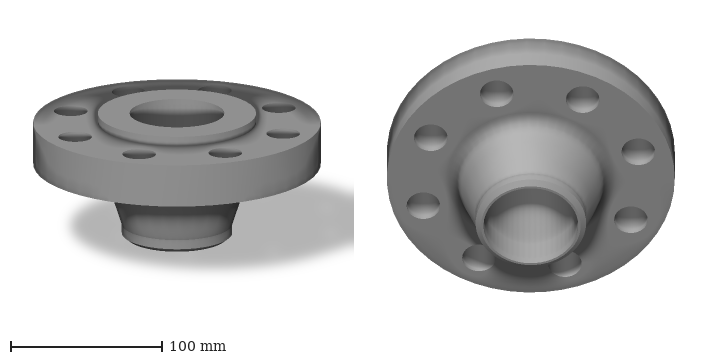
import cadquery as cq
import math

overall_height = 85.72
flange_diameter = 190.5
flange_thickness = 28.58
raised_face_diameter = 104.78
raised_face_height = 6.35
bore_diameter = 62.7

hub_root_diameter = 100.0
weld_end_diameter = 73.15
weld_end_straight_length = 6.35
root_fillet_radius = 7.2

bevel_angle = math.radians(37.5)
root_face_width = 1.6

bolt_count = 8
bolt_circle_diameter = 149.2
bolt_hole_diameter = 22.2

bore_radius = bore_diameter / 2
hub_root_radius = hub_root_diameter / 2
weld_end_radius = weld_end_diameter / 2
bevel_inner_radius = bore_radius + root_face_width
bevel_height = (weld_end_radius - bevel_inner_radius) * math.tan(bevel_angle)
taper_bottom = bevel_height + weld_end_straight_length
flange_top = overall_height - raised_face_height
flange_bottom = flange_top - flange_thickness
taper_angle = math.atan2(hub_root_radius - weld_end_radius, flange_bottom - taper_bottom)


def make_disc(diameter, bottom, thickness):
    """Solid cylinder on the Z axis."""
    return cq.Workplane("XY").workplane(offset=bottom).circle(diameter / 2).extrude(thickness)


def make_hub():
    """Solid of revolution: bevel, straight end, taper and concave fillet under the flange."""
    tangent_length = root_fillet_radius * math.tan(math.pi / 4 - taper_angle / 2)
    center_r = hub_root_radius + tangent_length
    center_z = flange_bottom - root_fillet_radius

    def fillet_point(angle):
        r = center_r + root_fillet_radius * math.cos(angle)
        z = center_z + root_fillet_radius * math.sin(angle)
        return (r, z)

    taper_end_angle = math.pi - taper_angle
    flange_end_angle = math.pi / 2
    middle_angle = (taper_end_angle + flange_end_angle) / 2

    profile = (
        cq.Workplane("XZ")
        .moveTo(0, 0)
        .lineTo(bevel_inner_radius, 0)
        .lineTo(weld_end_radius, bevel_height)
        .lineTo(weld_end_radius, taper_bottom)
        .lineTo(*fillet_point(taper_end_angle))
        .threePointArc(fillet_point(middle_angle), fillet_point(flange_end_angle))
        .lineTo(0, flange_bottom)
        .close()
    )
    return profile.revolve(360, (0, 0, 0), (0, 1, 0))


def make_bolt_holes():
    """Cutters for the through holes, the first one on the +X axis."""
    return (
        cq.Workplane("XY")
        .workplane(offset=flange_bottom)
        .polarArray(bolt_circle_diameter / 2, 0, 360, bolt_count)
        .circle(bolt_hole_diameter / 2)
        .extrude(flange_thickness)
    )


flange = make_disc(flange_diameter, flange_bottom, flange_thickness)
raised_face = make_disc(raised_face_diameter, flange_top, raised_face_height)
bore = make_disc(bore_diameter, 0, overall_height)

result = flange.union(raised_face).union(make_hub()).cut(bore).cut(make_bolt_holes())